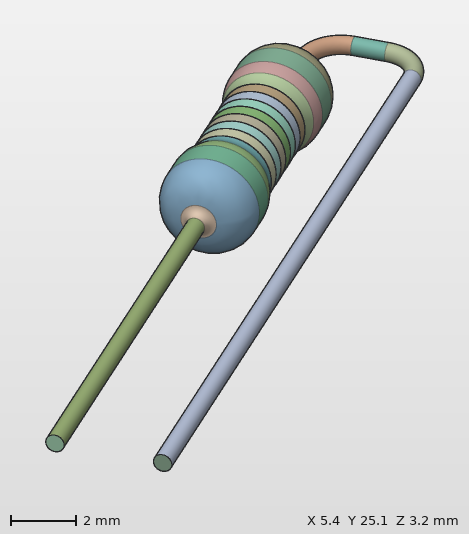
import cadquery as cq
import math


body_length = 9.0
cap_diameter = 3.2
cap_end_round = 1.1
cap_land_inner = 2.57
core_diameter = 2.72

band_diameter = 2.74
band_count = 4
band_width = 0.454

lead_diameter = 0.6
lead_pitch = 3.5
neck_fillet = 0.3
bend_radius = 1.2
bend_start = 5.5
lead_tip = -18.1

half_length = body_length / 2
cap_radius = cap_diameter / 2
core_radius = core_diameter / 2
band_radius = band_diameter / 2
lead_radius = lead_diameter / 2
band_zone_length = (2 * band_count - 1) * band_width
band_zone_end = band_zone_length / 2


def make_cap():
    """Revolve the +Y end cap, from the end of the bands to its neck, about the Y axis."""
    s_length = cap_land_inner - band_zone_end
    s_drop = cap_radius - core_radius
    s_angle = 2 * math.atan(s_drop / s_length)
    s_radius = s_length / (2 * math.sin(s_angle))
    half_turn = s_angle / 2
    arc_rise = s_radius * (1 - math.cos(half_turn))
    arc_run = s_radius * math.sin(half_turn)
    s_middle = (core_radius + s_drop / 2, band_zone_end + s_length / 2)
    concave_point = (core_radius + arc_rise, band_zone_end + arc_run)
    convex_point = (cap_radius - arc_rise, cap_land_inner - arc_run)

    diagonal = math.sqrt(0.5)
    round_centre = (cap_radius - cap_end_round, half_length - cap_end_round)
    round_point = (
        round_centre[0] + cap_end_round * diagonal,
        round_centre[1] + cap_end_round * diagonal,
    )
    neck_centre_radius = lead_radius + neck_fillet
    centre_distance = cap_end_round + neck_fillet
    radial_offset = neck_centre_radius - round_centre[0]
    axial_offset = math.sqrt(centre_distance**2 - radial_offset**2)
    neck_end = round_centre[1] + axial_offset
    contact_fraction = cap_end_round / centre_distance
    neck_contact = (
        round_centre[0] + radial_offset * contact_fraction,
        round_centre[1] + axial_offset * contact_fraction,
    )
    contact_angle = math.atan2(-axial_offset, -radial_offset)
    neck_mid_angle = (contact_angle - math.pi) / 2
    neck_point = (
        neck_centre_radius + neck_fillet * math.cos(neck_mid_angle),
        neck_end + neck_fillet * math.sin(neck_mid_angle),
    )

    return (
        cq.Workplane("XY")
        .moveTo(0, band_zone_end)
        .lineTo(core_radius, band_zone_end)
        .threePointArc(concave_point, s_middle)
        .threePointArc(convex_point, (cap_radius, cap_land_inner))
        .lineTo(cap_radius, round_centre[1])
        .threePointArc(round_point, neck_contact)
        .threePointArc(neck_point, (lead_radius, neck_end))
        .lineTo(0, neck_end)
        .close()
        .revolve(360, (0, 0, 0), (0, 1, 0))
    )


def make_cylinder(radius, start, length):
    """Solid cylinder on the body axis, running from Y = start toward +Y."""
    return cq.Workplane("XZ", origin=(0, start, 0)).circle(radius).extrude(-length)


def make_straight_lead():
    """Lead running from mid-body straight to its tip on the -Y side."""
    return cq.Workplane("XZ").circle(lead_radius).extrude(-lead_tip)


def make_bent_lead():
    """Lead leaving the +Y end and turned back by two quarter bends."""
    crossbar_y = bend_start + bend_radius
    bend_offset = bend_radius * (1 - math.sqrt(0.5))
    path = (
        cq.Workplane("XY")
        .moveTo(0, 0)
        .lineTo(0, bend_start)
        .threePointArc((bend_offset, crossbar_y - bend_offset), (bend_radius, crossbar_y))
        .lineTo(lead_pitch - bend_radius, crossbar_y)
        .threePointArc(
            (lead_pitch - bend_offset, crossbar_y - bend_offset),
            (lead_pitch, bend_start),
        )
        .lineTo(lead_pitch, lead_tip)
    )
    return cq.Workplane("XZ").circle(lead_radius).sweep(path)


cap = make_cap()
result = make_cylinder(core_radius, -band_zone_end, band_zone_length)
result = result.union(cap).union(cap.mirror("XZ"))
for index in range(band_count):
    band_start = -band_zone_end + 2 * index * band_width
    result = result.union(make_cylinder(band_radius, band_start, band_width))
result = result.union(make_straight_lead()).union(make_bent_lead())